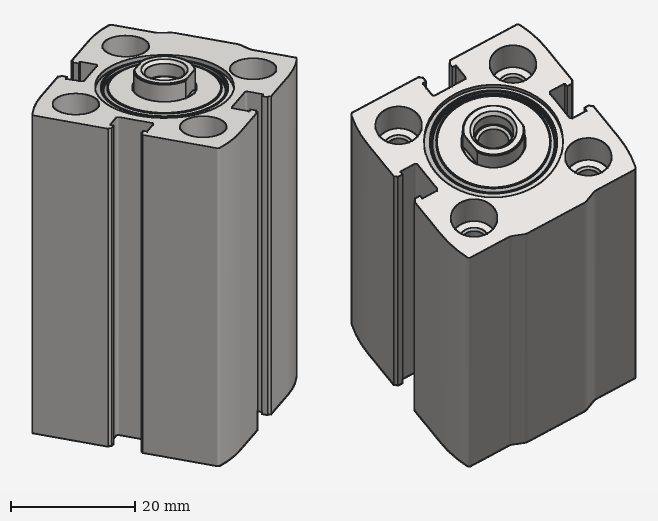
import cadquery as cq
import math

TOTAL_HEIGHT = 60.5
ROD_PROJECTION = 3.0
HOUSING_HEIGHT = TOTAL_HEIGHT - ROD_PROJECTION
HOUSING_WIDTH = 34.5
HALF_WIDTH = HOUSING_WIDTH / 2

BULGE_RADIUS = 20.0
FLAT_HALF_LENGTH = 10.65
CORNER_RADIUS = 0.5
PAD_HEIGHT = 1.0
PAD_TOP_HALF_WIDTH = 5.75
PAD_BASE_HALF_WIDTH = 8.1
PAD_BLEND_RADIUS = 2.0

SLOT_DEPTH = 4.5
SLOT_WIDTH = 6.4
SLOT_OPENING = 5.1
SLOT_LIP = 1.4
SLOT_LIP_RADIUS = 0.4
SLOT_FLOOR_RADIUS = 0.35

HOLE_PITCH = 22.0
HOLE_DIAMETER = 4.1
HOLE_CHAMFER_DIAMETER = 4.9
COUNTERBORE_DIAMETER = 7.5
COUNTERBORE_DEPTH = 6.05

RING_DIAMETER = 22.4
RING_CREST_RADIUS = 10.3
RING_STEP_DIAMETER = 20.0
INNER_CONE_BASE_RADIUS = 9.8
INNER_CONE_RADIUS = 9.25
END_DISC_RADIUS = 9.1
RING_DEPTH = 0.8
DISC_DROP = 0.1
RING_CREST_DROP = 0.25

STEM_DIAMETER = 10.4
STEM_LENGTH = 18.15
ROD_DIAMETER = 10.0
ROD_FLATS = 9.0
ROD_CHAMFER = 0.2
SHOULDER_HEIGHT = 0.3
SHOULDER_DROP = 0.25
MOUTH_DIAMETER = 7.5
BORE_DIAMETER = 6.4
BORE_DEPTH = 2.8
SEAT_DIAMETER = 5.9
DRILL_DIAMETER = 4.9
DRILL_DEPTH = 10.9
SEAT_HEIGHT = 0.35
DRILL_POINT_ANGLE = 118.0


def revolve_profile(points):
    """Solid of revolution about Z from (radius, height) points."""
    return cq.Workplane("XZ").polyline(points).close().revolve(360, (0, 0), (0, 1))


def housing_blank():
    bulge_span = HALF_WIDTH - FLAT_HALF_LENGTH
    bulge_centre_x = HALF_WIDTH - BULGE_RADIUS
    end_x = bulge_centre_x + math.sqrt(BULGE_RADIUS**2 - bulge_span**2)
    half_angle = math.asin(bulge_span / BULGE_RADIUS) / 2
    mid_x = bulge_centre_x + BULGE_RADIUS * math.cos(half_angle)
    mid_y = FLAT_HALF_LENGTH + BULGE_RADIUS * math.sin(half_angle)
    pad_y = HALF_WIDTH + PAD_HEIGHT
    blank = (
        cq.Workplane("XY")
        .moveTo(-end_x, -HALF_WIDTH)
        .lineTo(end_x, -HALF_WIDTH)
        .threePointArc((mid_x, -mid_y), (HALF_WIDTH, -FLAT_HALF_LENGTH))
        .lineTo(HALF_WIDTH, FLAT_HALF_LENGTH)
        .threePointArc((mid_x, mid_y), (end_x, HALF_WIDTH))
        .lineTo(PAD_BASE_HALF_WIDTH, HALF_WIDTH)
        .lineTo(PAD_TOP_HALF_WIDTH, pad_y)
        .lineTo(-PAD_TOP_HALF_WIDTH, pad_y)
        .lineTo(-PAD_BASE_HALF_WIDTH, HALF_WIDTH)
        .lineTo(-end_x, HALF_WIDTH)
        .threePointArc((-mid_x, mid_y), (-HALF_WIDTH, FLAT_HALF_LENGTH))
        .lineTo(-HALF_WIDTH, -FLAT_HALF_LENGTH)
        .threePointArc((-mid_x, -mid_y), (-end_x, -HALF_WIDTH))
        .close()
        .extrude(HOUSING_HEIGHT)
    )
    corners = [(sx * end_x, sy * HALF_WIDTH) for sx in (-1, 1) for sy in (-1, 1)]
    pad_corners = [
        (side * x, y)
        for side in (-1, 1)
        for x, y in ((PAD_BASE_HALF_WIDTH, HALF_WIDTH), (PAD_TOP_HALF_WIDTH, pad_y))
    ]
    blank = fillet_upright_edges(blank, corners, CORNER_RADIUS)
    return fillet_upright_edges(blank, pad_corners, PAD_BLEND_RADIUS)


def fillet_upright_edges(body, places, radius):
    """Round the full-height edges that stand at the given (x, y) places."""
    middle = HOUSING_HEIGHT / 2
    edges = cq.Workplane("XY")
    for x, y in places:
        edges = edges.add(body.edges("|Z").edges(cq.NearestToPointSelector((x, y, middle))))
    return body.newObject(edges.vals()).fillet(radius)


def t_slot(angle):
    """Cutter for a T-slot in the -Y face, turned about Z by the angle."""
    floor_y = -HALF_WIDTH + SLOT_DEPTH
    lip_y = -HALF_WIDTH + SLOT_LIP
    half_opening = SLOT_OPENING / 2
    chamber = (
        cq.Workplane("XY")
        .center(0, (floor_y + lip_y) / 2)
        .rect(SLOT_WIDTH, floor_y - lip_y)
        .extrude(HOUSING_HEIGHT)
        .edges("|Z and >Y")
        .fillet(SLOT_FLOOR_RADIUS)
    )
    flare = half_opening + SLOT_LIP_RADIUS
    round_y = -HALF_WIDTH + SLOT_LIP_RADIUS
    mouth = (
        cq.Workplane("XY")
        .moveTo(-flare, -HALF_WIDTH)
        .lineTo(flare, -HALF_WIDTH)
        .radiusArc((half_opening, round_y), -SLOT_LIP_RADIUS)
        .lineTo(half_opening, lip_y)
        .lineTo(-half_opening, lip_y)
        .lineTo(-half_opening, round_y)
        .radiusArc((-flare, -HALF_WIDTH), -SLOT_LIP_RADIUS)
        .close()
        .extrude(HOUSING_HEIGHT)
    )
    return chamber.union(mouth).rotate((0, 0, 0), (0, 0, 1), angle)


def mounting_hole():
    """Cutter for a counterbored through hole, chamfered at the counterbore floor."""
    hole_radius = HOLE_DIAMETER / 2
    chamfer_radius = HOLE_CHAMFER_DIAMETER / 2
    counterbore_radius = COUNTERBORE_DIAMETER / 2
    floor_z = HOUSING_HEIGHT - COUNTERBORE_DEPTH
    return revolve_profile([
        (0, 0),
        (hole_radius, 0),
        (hole_radius, floor_z - (chamfer_radius - hole_radius)),
        (chamfer_radius, floor_z),
        (counterbore_radius, floor_z),
        (counterbore_radius, HOUSING_HEIGHT),
        (0, HOUSING_HEIGHT),
    ])


def end_recess():
    """Cutter for the sunken end disc and the two conical grooves around it."""
    bottom_z = HOUSING_HEIGHT - RING_DEPTH
    crest_z = HOUSING_HEIGHT - RING_CREST_DROP
    disc_z = HOUSING_HEIGHT - DISC_DROP
    return revolve_profile([
        (RING_DIAMETER / 2, HOUSING_HEIGHT),
        (RING_DIAMETER / 2, bottom_z),
        (RING_CREST_RADIUS, crest_z),
        (RING_STEP_DIAMETER / 2, crest_z),
        (RING_STEP_DIAMETER / 2, bottom_z),
        (INNER_CONE_BASE_RADIUS, bottom_z),
        (INNER_CONE_RADIUS, crest_z),
        (END_DISC_RADIUS, crest_z),
        (END_DISC_RADIUS, disc_z),
        (0, disc_z),
        (0, HOUSING_HEIGHT),
    ])


def rod_pocket():
    """Cutter for the blind bore that holds the rod stem."""
    return (
        cq.Workplane("XY", origin=(0, 0, HOUSING_HEIGHT - STEM_LENGTH))
        .circle(STEM_DIAMETER / 2)
        .extrude(STEM_LENGTH)
    )


def make_housing():
    body = housing_blank()
    for angle in (-90, 0, 90):
        body = body.cut(t_slot(angle))
    for side_x in (-1, 1):
        for side_y in (-1, 1):
            place = (side_x * HOLE_PITCH / 2, side_y * HOLE_PITCH / 2, 0)
            body = body.cut(mounting_hole().translate(place))
    return body.cut(end_recess()).cut(rod_pocket())


def rod_end_hole():
    """Cutter for the stepped blind hole in the rod end."""
    mouth_radius = MOUTH_DIAMETER / 2
    bore_radius = BORE_DIAMETER / 2
    drill_radius = DRILL_DIAMETER / 2
    bore_z = TOTAL_HEIGHT - BORE_DEPTH
    drill_z = TOTAL_HEIGHT - DRILL_DEPTH
    point_height = drill_radius / math.tan(math.radians(DRILL_POINT_ANGLE / 2))
    return revolve_profile([
        (0, drill_z - point_height),
        (drill_radius, drill_z),
        (drill_radius, bore_z - SEAT_HEIGHT),
        (SEAT_DIAMETER / 2, bore_z),
        (bore_radius, bore_z),
        (bore_radius, TOTAL_HEIGHT - (mouth_radius - bore_radius)),
        (mouth_radius, TOTAL_HEIGHT),
        (0, TOTAL_HEIGHT),
    ])


def make_rod():
    stem_radius = STEM_DIAMETER / 2
    shoulder_z = HOUSING_HEIGHT - DISC_DROP - SHOULDER_DROP - SHOULDER_HEIGHT
    stem = revolve_profile([
        (0, HOUSING_HEIGHT - STEM_LENGTH),
        (stem_radius, HOUSING_HEIGHT - STEM_LENGTH),
        (stem_radius, shoulder_z),
        (ROD_DIAMETER / 2, shoulder_z),
        (ROD_FLATS / 2, shoulder_z + SHOULDER_HEIGHT),
        (0, shoulder_z + SHOULDER_HEIGHT),
    ])
    flats_height = TOTAL_HEIGHT - shoulder_z
    end = (
        cq.Workplane("XY", origin=(0, 0, shoulder_z))
        .circle(ROD_DIAMETER / 2)
        .extrude(flats_height)
        .faces(">Z")
        .chamfer(ROD_CHAMFER)
    )
    between_flats = (
        cq.Workplane("XY", origin=(0, 0, shoulder_z))
        .rect(ROD_FLATS, STEM_DIAMETER)
        .extrude(flats_height)
    )
    return stem.union(end.intersect(between_flats)).cut(rod_end_hole())


housing = make_housing()
rod = make_rod()

result = cq.Compound.makeCompound([housing.solids().val(), rod.solids().val()])